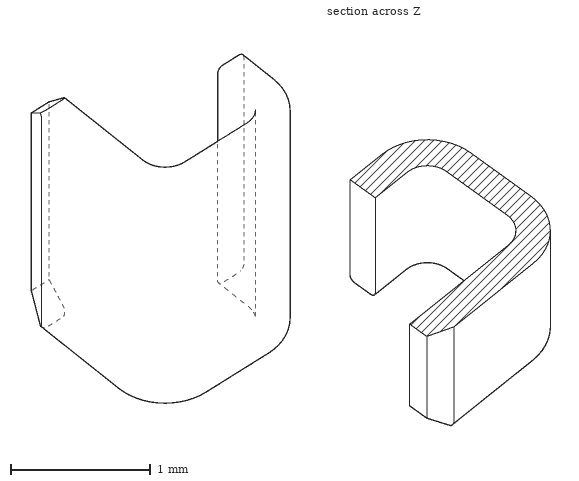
import cadquery as cq

width = 1.48
depth = 1.5
height = 2.2

thickness = 0.25
outer_radius = 0.45
inner_radius = outer_radius - thickness
short_leg_length = 0.783
edge_radius = 0.05

tip_length = 0.2
tip_drop = 0.2
tip_taper = 0.08

left = -width / 2
right = width / 2
front = -depth / 2
back = depth / 2
top = height / 2
short_leg_end = right - short_leg_length


def box(x_min, x_max, y_min, y_max):
    """Full-height block between the given X and Y limits."""
    return (
        cq.Workplane("XY")
        .box(x_max - x_min, y_max - y_min, height, centered=(False, False, True))
        .translate((x_min, y_min, 0))
    )


def bent_strip():
    """J-shaped strip with rounded bends and rounded top and bottom edges."""
    outer = box(left, right, front, back).edges("|Z and >X").fillet(outer_radius)
    channel = box(left, right - thickness, front + thickness, back - thickness)
    channel = channel.edges("|Z and >X").fillet(inner_radius)
    short_leg_trim = box(left, short_leg_end, front + thickness, back)
    strip = outer.cut(channel).cut(short_leg_trim)
    end_limit = short_leg_end + edge_radius
    rims = strip.faces("|Z").edges().filter(lambda edge: edge.BoundingBox().xmax > end_limit)
    return rims.fillet(edge_radius)


def corner_cut():
    """Wedge that slopes the top corner of the long leg's free end."""
    return (
        cq.Workplane("XZ", origin=(0, front + thickness, 0))
        .polyline([(left, top), (left + tip_length, top), (left, top - tip_drop)])
        .close()
        .extrude(thickness)
    )


def taper_cut():
    """Full-height wedge that thins the long leg's outer face toward its free end."""
    return (
        cq.Workplane("XY", origin=(0, 0, -top))
        .polyline([(left, front), (left + tip_length, front), (left, front + tip_taper)])
        .close()
        .extrude(height)
    )


top_corner = corner_cut()
bottom_corner = top_corner.mirror("XY")
result = bent_strip().cut(top_corner).cut(bottom_corner).cut(taper_cut())